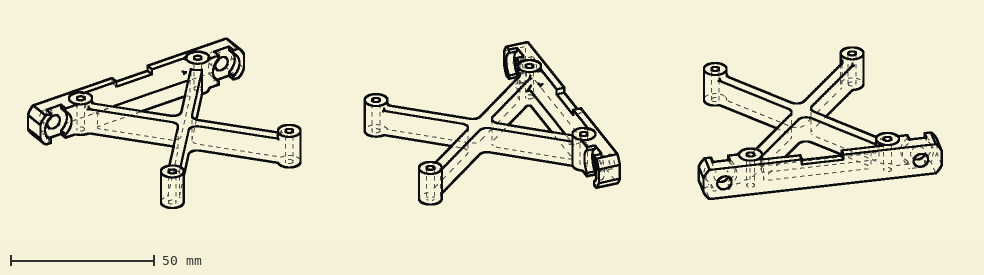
import cadquery as cq
import math

bar_length = 85.0
bar_depth = 8.0
bar_height = 12.0
end_radius = 8.0
mount_spacing = 70.0
mount_hole_diameter = 5.2
counterbore_diameter = 11.05
counterbore_floor = 5.0
access_slot_width = 6.1

wall_thickness = 2.9
ledge_height = 6.1
window_width = 14.8
window_floor = 9.95

total_depth = 68.0
boss_diameter = 8.0
boss_height = 12.6
boss_hole_diameter = 2.7
blend_radius = 1.0
boss_spacing_y = 48.8
front_boss_x = 6.0
arm_width = 4.0
arm_height = 9.95
crossing_fillet = 3.0
arm_root_fillet = 0.85

boss_radius = boss_diameter / 2
rear_boss_x = total_depth - boss_radius
boss_y = boss_spacing_y / 2
crossing_x = (front_boss_x + rear_boss_x) / 2
arm_run = rear_boss_x - front_boss_x
arm_length = math.hypot(arm_run, boss_spacing_y)
arm_angle = math.degrees(math.atan2(boss_spacing_y, arm_run))
front_bosses = [(front_boss_x, side * boss_y) for side in (1, -1)]
rear_bosses = [(rear_boss_x, side * boss_y) for side in (1, -1)]

filleted_arm_ends = [(rear_bosses[0], 1), (rear_bosses[1], -1), (front_bosses[1], 1)]


def block(x_start, x_end, width, z_start, z_end):
    """Box centred on Y = 0 between the given X and Z limits."""
    box = cq.Workplane("XY").box(x_end - x_start, width, z_end - z_start, centered=(False, True, False))
    return box.translate((x_start, 0, z_start))


def mount_cylinders(diameter, x_start, x_end):
    """Pair of cylinders along X on the mounting hole axes."""
    return (
        cq.Workplane("YZ", origin=(x_start, 0, bar_height / 2))
        .pushPoints([(mount_spacing / 2, 0), (-mount_spacing / 2, 0)])
        .circle(diameter / 2)
        .extrude(x_end - x_start)
    )


def make_bar():
    """Bar with arc-cornered ends, mounting pockets, ledge and wall window."""
    rounded_blank = (
        cq.Workplane("YZ", origin=(0, 0, bar_height / 2))
        .slot2D(mount_spacing + 2 * end_radius, 2 * end_radius)
        .extrude(bar_depth)
    )
    bar = block(0, bar_depth, bar_length, 0, bar_height).intersect(rounded_blank)

    bar = bar.cut(mount_cylinders(mount_hole_diameter, 0, bar_depth))
    bar = bar.cut(mount_cylinders(counterbore_diameter, counterbore_floor, bar_depth))
    slot = block(counterbore_floor, bar_depth, access_slot_width, 0, bar_height)
    for side in (1, -1):
        bar = bar.cut(slot.translate((0, side * mount_spacing / 2, 0)))

    bar = bar.cut(block(wall_thickness, bar_depth, boss_spacing_y, ledge_height, bar_height))
    arc_middle = blend_radius * (1 - math.sqrt(0.5))
    wall_foot_fillet = (
        cq.Workplane("XZ", origin=(wall_thickness, boss_y, ledge_height))
        .lineTo(blend_radius, 0)
        .threePointArc((arc_middle, arc_middle), (0, blend_radius))
        .close()
        .extrude(boss_spacing_y)
    )
    bar = bar.union(wall_foot_fillet)

    return bar.cut(block(0, wall_thickness, window_width, window_floor, bar_height))


def make_arm(direction, height):
    """Straight arm through the crossing, running from boss centre to boss centre."""
    return (
        cq.Workplane("XY", origin=(crossing_x, 0, 0))
        .transformed(rotate=(0, 0, direction * arm_angle))
        .rect(arm_length, arm_width)
        .extrude(height)
    )


def make_cross():
    """Two crossed arms with rounded inner corners."""
    cross = make_arm(1, arm_height).union(make_arm(-1, arm_height))
    near_crossing = cq.selectors.BoxSelector(
        (crossing_x - arm_width, -arm_width, 0),
        (crossing_x + arm_width, arm_width, arm_height),
    )
    return cross.edges("|Z").edges(near_crossing).fillet(crossing_fillet)


def make_arm_root(side):
    """Rounded web in the sharp corner between the bar's inner face and an arm."""
    half_angle = math.radians(90 - arm_angle) / 2
    slope = math.radians(arm_angle)
    corner_drop = (bar_depth - front_boss_x) * math.tan(slope) + arm_width / 2 / math.cos(slope)
    corner_y = boss_y - corner_drop
    tangent = arm_root_fillet / math.tan(half_angle)
    centre_distance = arm_root_fillet / math.sin(half_angle)
    bisector = math.pi / 2 - half_angle
    reach = centre_distance - arm_root_fillet

    def point(distance, angle):
        return (
            bar_depth + distance * math.cos(angle),
            side * (corner_y - distance * math.sin(angle)),
        )

    return (
        cq.Workplane("XY")
        .moveTo(*point(0, 0))
        .lineTo(*point(tangent, math.pi / 2))
        .threePointArc(point(reach, bisector), point(tangent, slope))
        .close()
        .extrude(ledge_height)
    )


def boss_web(centre, face_angle, face_offset, side, height):
    """Rounded corner between a boss and a flat face that runs away from it.

    The face runs at face_angle degrees, face_offset from the boss centre; side is
    1 when the web lies left of that direction and -1 when it lies right of it.
    """
    centre_radius = boss_radius + blend_radius
    arc_v = face_offset + blend_radius
    arc_u = math.sqrt(centre_radius**2 - arc_v**2)
    on_boss = (arc_u * boss_radius / centre_radius, arc_v * boss_radius / centre_radius)
    towards_boss = math.atan2(-arc_v, -arc_u) % (2 * math.pi)
    towards_face = 3 * math.pi / 2
    middle = (towards_boss + towards_face) / 2
    on_arc = (arc_u + blend_radius * math.cos(middle), arc_v + blend_radius * math.sin(middle))

    def point(u, v):
        return (u, side * v)

    return (
        cq.Workplane("XY", origin=(*centre, 0))
        .transformed(rotate=(0, 0, face_angle))
        .moveTo(*point(0, face_offset))
        .lineTo(*point(arc_u, face_offset))
        .threePointArc(point(*on_arc), point(*on_boss))
        .close()
        .extrude(height)
    )


def fillet_ring(centre, base_height):
    """Concave collar around a boss, standing on a surface at base_height."""
    outer_radius = boss_radius + blend_radius
    arc_middle = blend_radius * (1 - math.sqrt(0.5))
    ring = (
        cq.Workplane("XZ")
        .lineTo(outer_radius, 0)
        .threePointArc((boss_radius + arc_middle, arc_middle), (boss_radius, blend_radius))
        .lineTo(0, blend_radius)
        .close()
        .revolve(360, (0, 0), (0, 1))
    )
    return ring.translate((*centre, base_height))


bar_footprint = block(0, bar_depth, bar_length, 0, boss_height).cut(
    block(wall_thickness, bar_depth, boss_spacing_y, 0, boss_height)
)
ledge_footprint = block(wall_thickness, bar_depth, boss_spacing_y, 0, boss_height)

result = make_bar().union(make_cross())
for side in (1, -1):
    result = result.union(make_arm_root(side))

for centre in front_bosses + rear_bosses:
    boss = cq.Workplane("XY").center(*centre).circle(boss_radius).extrude(boss_height)
    result = result.union(boss)

for centre, arm_direction in filleted_arm_ends:
    towards_crossing = math.degrees(math.atan2(-centre[1], crossing_x - centre[0]))
    for side in (1, -1):
        web = boss_web(centre, towards_crossing, arm_width / 2, side, arm_height)
        result = result.union(web)

for centre in front_bosses:
    end = math.copysign(1, centre[1])
    wall_offset = wall_thickness - front_boss_x
    face_offset = bar_depth - front_boss_x
    result = result.union(boss_web(centre, -90 * end, wall_offset, end, bar_height))
    result = result.union(boss_web(centre, 90 * end, face_offset, -end, bar_height))

for centre in front_bosses:
    result = result.union(fillet_ring(centre, bar_height).intersect(bar_footprint))
    result = result.union(fillet_ring(centre, ledge_height).intersect(ledge_footprint))

for centre, arm_direction in filleted_arm_ends:
    collar = fillet_ring(centre, arm_height).intersect(make_arm(arm_direction, boss_height))
    result = result.union(collar)

screw_holes = (
    cq.Workplane("XY")
    .pushPoints(front_bosses + rear_bosses)
    .circle(boss_hole_diameter / 2)
    .extrude(boss_height)
)
result = result.cut(screw_holes)